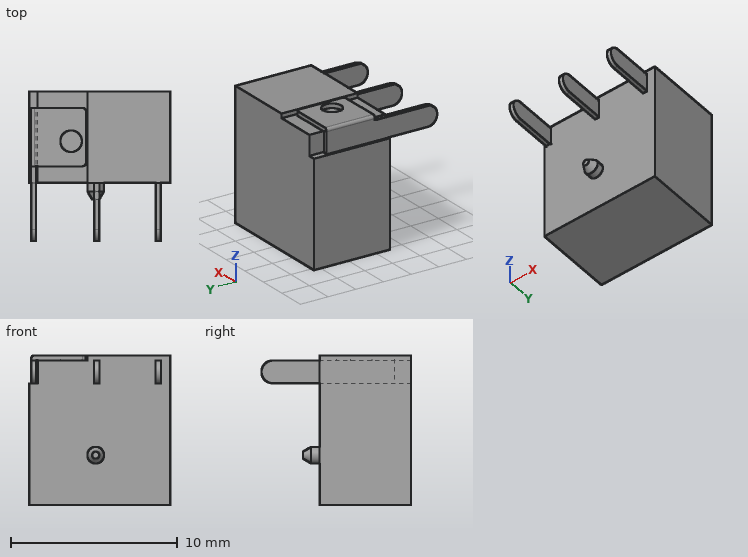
import cadquery as cq

WIDTH = 8.5
OVERALL_DEPTH = 9.0
DEPTH = 5.5
HEIGHT = 9.0

STEP_WIDTH = 3.5
SHELF_WIDTH = 0.51
SHELF_DROP = 1.68

SHEET = 0.31
LEG_LENGTH = OVERALL_DEPTH - DEPTH
LEG_HEIGHT = SHELF_DROP - SHEET
LEG_BOTTOM = HEIGHT - SHELF_DROP
PIN_CENTERS_X = (4.07, 7.76)

TERMINAL_LEFT = 0.13
TERMINAL_RIGHT = 3.42
PLATE_MARGIN = 1.0
PLATE_BACK = DEPTH - PLATE_MARGIN
PLATE_FRONT = PLATE_MARGIN
BEND_RADIUS = 0.2
CORNER_RADIUS = 0.2
HOLE_DIAMETER = 1.3
HOLE_X = 2.53
HOLE_SETBACK = 3.0
HOLE_Y = DEPTH - HOLE_SETBACK

PEG_X = 4.005
PEG_Z = 3.01
PEG_RADIUS = 0.5
PEG_TIP_RADIUS = 0.22
PEG_STRAIGHT = 0.5
PEG_LENGTH = 1.0


def box(x_range, y_range, z_range):
    """Box between the given limits along each axis."""
    (x0, x1), (y0, y1), (z0, z1) = x_range, y_range, z_range
    return cq.Workplane("XY").box(x1 - x0, y1 - y0, z1 - z0, centered=False).translate((x0, y0, z0))


def make_leg(center_x, back_y):
    """Flat upright leg from back_y to its fully rounded front end."""
    end_radius = LEG_HEIGHT / 2
    round_center_y = end_radius - LEG_LENGTH
    leg_top = LEG_BOTTOM + LEG_HEIGHT
    return (
        cq.Workplane("YZ", origin=(center_x, 0, 0))
        .moveTo(back_y, LEG_BOTTOM)
        .lineTo(round_center_y, LEG_BOTTOM)
        .threePointArc((-LEG_LENGTH, LEG_BOTTOM + end_radius), (round_center_y, leg_top))
        .lineTo(back_y, leg_top)
        .close()
        .extrude(SHEET / 2, both=True)
    )


def make_peg():
    """Round peg with a straight root and a tapered tip, pointing forward."""
    return (
        cq.Workplane("XY", origin=(PEG_X, 0, PEG_Z))
        .lineTo(PEG_RADIUS, 0)
        .lineTo(PEG_RADIUS, -PEG_STRAIGHT)
        .lineTo(PEG_TIP_RADIUS, -PEG_LENGTH)
        .lineTo(0, -PEG_LENGTH)
        .close()
        .revolve(360, (0, 0, 0), (0, 1, 0))
    )


def make_housing():
    """Stepped block with its peg and the two plain solder pins."""
    body = (
        cq.Workplane("XZ")
        .lineTo(WIDTH, 0)
        .lineTo(WIDTH, HEIGHT)
        .lineTo(STEP_WIDTH, HEIGHT)
        .lineTo(STEP_WIDTH, HEIGHT - SHEET)
        .lineTo(SHELF_WIDTH, HEIGHT - SHEET)
        .lineTo(SHELF_WIDTH, HEIGHT - SHELF_DROP)
        .lineTo(0, HEIGHT - SHELF_DROP)
        .close()
        .extrude(-DEPTH)
    )
    body = body.union(make_peg())
    for center_x in PIN_CENTERS_X:
        body = body.union(make_leg(center_x, 0))
    return body


def make_terminal():
    """Bent terminal: plate with a round hole, and a leg along its left edge."""
    plate = box(
        (TERMINAL_LEFT, TERMINAL_RIGHT),
        (PLATE_FRONT, PLATE_BACK),
        (HEIGHT - SHEET, HEIGHT),
    )
    plate = plate.edges("|Z and >X").fillet(CORNER_RADIUS)
    leg = make_leg(TERMINAL_LEFT + SHEET / 2, PLATE_BACK)
    bent_sheet = plate.edges("|Y and <X and >Z").fillet(BEND_RADIUS).union(leg)
    hole = cq.Workplane("XY", origin=(HOLE_X, HOLE_Y, HEIGHT)).circle(HOLE_DIAMETER / 2).extrude(-SHEET)
    return bent_sheet.cut(hole)


housing = make_housing()
terminal = make_terminal()
result = cq.Compound.makeCompound([housing.val(), terminal.val()])